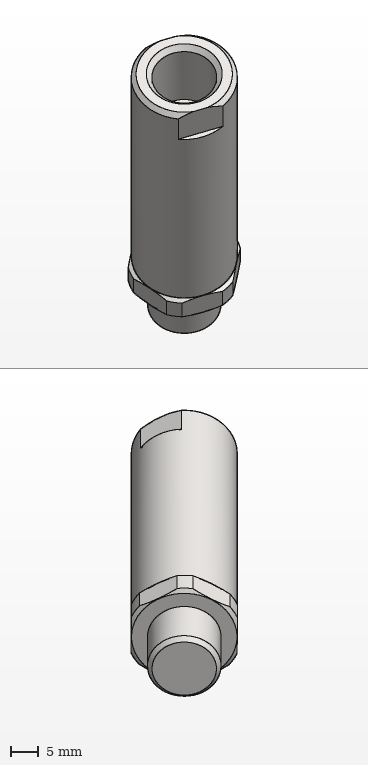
import cadquery as cq
import math

total_length = 68.6
body_diameter = 19.0

stub_diameter = 13.2
stub_length = 10.0
stub_chamfer = 0.8

hex_across_flats = body_diameter
hex_across_corners = hex_across_flats / math.cos(math.radians(30))
hex_corner_diameter = 20.5
hex_height = 5.0
hex_chamfer_width = 0.8
hex_chamfer_height = 0.5

rim_chamfer = 0.9
wrench_across_flats = 17.0
wrench_flat_length = 6.85

bore_diameter = 11.6
bore_mouth_diameter = 13.6
bore_depth = 15.1
hex_top = stub_length + hex_height


def make_stub():
    stub = cq.Workplane("XY").circle(stub_diameter / 2).extrude(stub_length)
    return stub.faces("<Z").chamfer(stub_chamfer)


def make_hex_collar():
    """Hexagon with flats facing +X and -X, intersected with a double-chamfered disc."""
    prism = (
        cq.Workplane("XY", origin=(0, 0, stub_length))
        .transformed(rotate=(0, 0, 30))
        .polygon(6, hex_across_corners)
        .extrude(hex_height)
    )
    outer_radius = hex_corner_diameter / 2
    end_radius = outer_radius - hex_chamfer_width
    disc = (
        cq.Workplane("XZ")
        .moveTo(0, stub_length)
        .lineTo(end_radius, stub_length)
        .lineTo(outer_radius, stub_length + hex_chamfer_height)
        .lineTo(outer_radius, hex_top - hex_chamfer_height)
        .lineTo(end_radius, hex_top)
        .lineTo(0, hex_top)
        .close()
        .revolve(360, (0, 0), (0, 1))
    )
    return prism.intersect(disc)


def make_body():
    body = (
        cq.Workplane("XY", origin=(0, 0, hex_top))
        .circle(body_diameter / 2)
        .extrude(total_length - hex_top)
    )
    return body.faces(">Z").chamfer(rim_chamfer)


def make_wrench_flat(side):
    """Block that cuts one flat; side is +1 for +X and -1 for -X."""
    block_size = body_diameter
    return cq.Workplane("XY").box(block_size, block_size, wrench_flat_length).translate(
        (side * (wrench_across_flats + block_size) / 2, 0, total_length - wrench_flat_length / 2)
    )


def make_bore():
    bore = (
        cq.Workplane("XY", origin=(0, 0, total_length))
        .circle(bore_diameter / 2)
        .extrude(-bore_depth)
    )
    mouth_depth = (bore_mouth_diameter - bore_diameter) / 2
    mouth = cq.Solid.makeCone(
        bore_diameter / 2,
        bore_mouth_diameter / 2,
        mouth_depth,
        pnt=cq.Vector(0, 0, total_length - mouth_depth),
    )
    return bore.union(cq.Workplane(obj=mouth))


result = make_stub().union(make_hex_collar()).union(make_body())
for side in (-1, 1):
    result = result.cut(make_wrench_flat(side))
result = result.cut(make_bore())